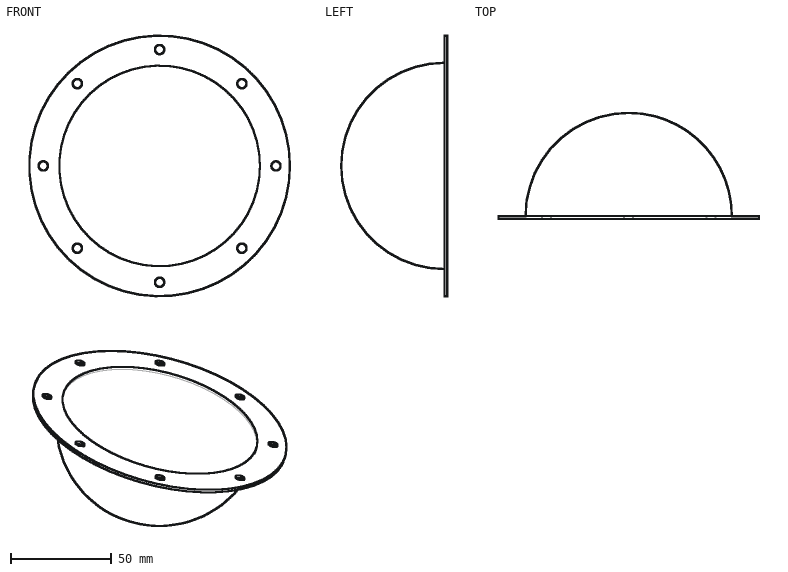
import cadquery as cq
import math

sheet_thickness = 1.5
bowl_inner_diameter = 100.0
flange_diameter = 130.0
bolt_circle_diameter = 116.0
bolt_hole_diameter = 4.5
bolt_hole_count = 8

inner_radius = bowl_inner_diameter / 2
outer_radius = inner_radius + sheet_thickness
flange_radius = flange_diameter / 2
bolt_circle_radius = bolt_circle_diameter / 2
center_y = sheet_thickness


def on_arc(radius):
    """Midpoint of the quarter arc from the bowl rim to its pole."""
    offset = radius * math.sqrt(0.5)
    return (offset, center_y + offset)


def make_flanged_bowl():
    """Revolve the half section of flange and hemispherical shell about Y."""
    section = (
        cq.Workplane("XY")
        .moveTo(inner_radius, 0)
        .lineTo(flange_radius, 0)
        .lineTo(flange_radius, sheet_thickness)
        .lineTo(outer_radius, center_y)
        .threePointArc(on_arc(outer_radius), (0, center_y + outer_radius))
        .lineTo(0, center_y + inner_radius)
        .threePointArc(on_arc(inner_radius), (inner_radius, center_y))
        .close()
    )
    return section.revolve(360, (0, 0), (0, 1))


def make_bolt_holes():
    """Cylinders through the flange, evenly spaced with the first one on +X."""
    return (
        cq.Workplane("XZ")
        .polarArray(bolt_circle_radius, 0, 360, bolt_hole_count)
        .circle(bolt_hole_diameter / 2)
        .extrude(-sheet_thickness)
    )


result = make_flanged_bowl().cut(make_bolt_holes())